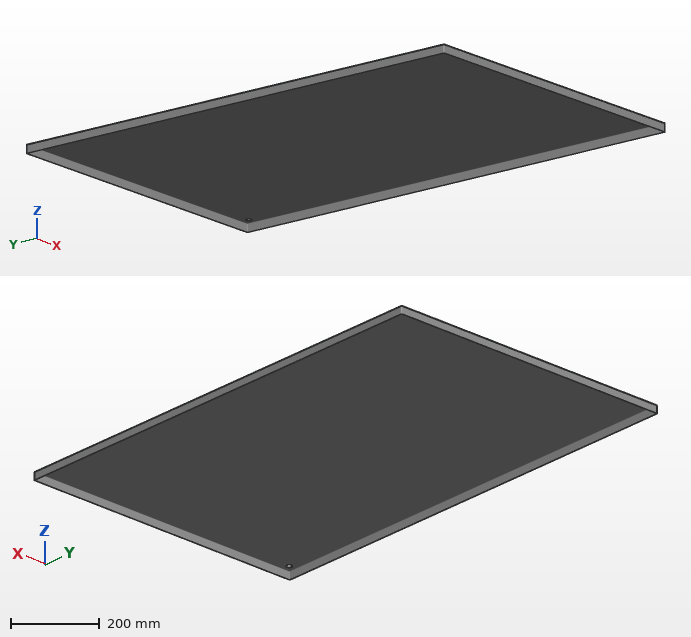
import cadquery as cq

width = 788.0
length = 1219.0
height = 22.0

sheet_thickness = 2.0
bend_radius = 3.0

hole_diameter = 15.0
hole_inset = 22.0


def make_tray():
    """Sheet panel with its four sides folded down, open underneath and resting on Z = 0."""
    block = cq.Workplane("XY").box(width, length, height, centered=(True, True, False))
    block = block.edges("|Z").fillet(bend_radius)
    block = block.faces(">Z").edges().fillet(bend_radius)
    return block.faces("<Z").shell(-sheet_thickness)


def make_corner_holes():
    """Four cylinders through the panel, at an equal inset from both sides of each corner."""
    return (
        cq.Workplane("XY")
        .rect(width - 2 * hole_inset, length - 2 * hole_inset, forConstruction=True)
        .vertices()
        .circle(hole_diameter / 2)
        .extrude(height)
    )


result = make_tray().cut(make_corner_holes())